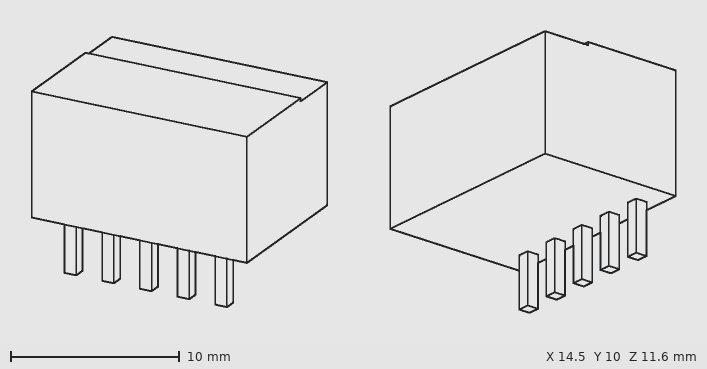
import cadquery as cq

LENGTH = 14.5
DEPTH = 10.0
TOTAL_HEIGHT = 11.6

STEP_WIDTH = 3.3
STEP_DROP = 0.2

PIN_COUNT = 5
PIN_PITCH = 2.54
PIN_SIDE = 0.8
PIN_LENGTH = 3.5
PIN_FRONT_GAP = 0.8

BODY_HEIGHT = TOTAL_HEIGHT - PIN_LENGTH


def make_housing():
    """Stepped side profile in YZ, extruded along the length; front bottom edge at Y = 0, Z = 0."""
    return (
        cq.Workplane("YZ")
        .polyline([
            (0, 0),
            (DEPTH, 0),
            (DEPTH, BODY_HEIGHT - STEP_DROP),
            (DEPTH - STEP_WIDTH, BODY_HEIGHT - STEP_DROP),
            (DEPTH - STEP_WIDTH, BODY_HEIGHT),
            (0, BODY_HEIGHT),
        ])
        .close()
        .extrude(LENGTH / 2, both=True)
    )


def make_pins():
    """Pins centred along the length, hanging from the underside of the housing."""
    row_y = PIN_FRONT_GAP + PIN_SIDE / 2
    return (
        cq.Workplane("XY")
        .center(0, row_y)
        .rarray(PIN_PITCH, 0.15, PIN_COUNT, 1)
        .rect(PIN_SIDE, PIN_SIDE)
        .extrude(-PIN_LENGTH)
    )


result = make_housing().union(make_pins())